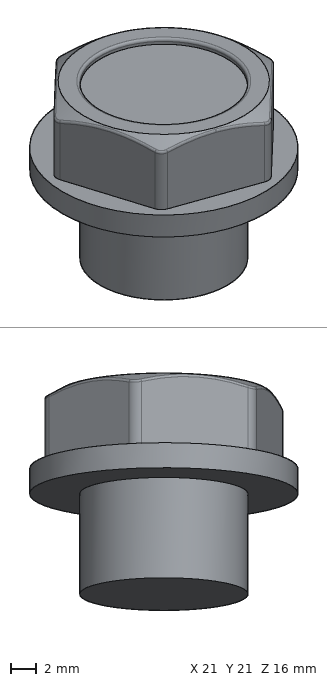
import cadquery as cq
import math

shank_diameter = 13.17
shank_length = 8.0
flange_diameter = 21.0
flange_thickness = 2.0
head_height = 6.0
hex_sides = 6
hex_half_angle = 180 / hex_sides
across_flats = 17.0
corner_radius = 1.0

crown_diameter = 16.53
crown_angle = 30.0
crown_edge_radius = 0.25

recess_diameter = 13.1
recess_depth = 0.5
recess_rim_radius = 0.25

flange_top = shank_length + flange_thickness
total_height = flange_top + head_height


def make_head():
    """Rounded hexagon with corners on the Y axis, chamfered by a cone."""
    across_corners = across_flats / math.cos(math.radians(hex_half_angle))
    hexagon = (
        cq.Workplane("XY")
        .polygon(hex_sides, across_corners)
        .extrude(head_height)
        .edges("|Z")
        .fillet(corner_radius)
        .rotate((0, 0, 0), (0, 0, 1), hex_half_angle)
        .translate((0, 0, flange_top))
    )

    crown_radius = crown_diameter / 2
    outer_radius = flange_diameter / 2
    cone_drop = (outer_radius - crown_radius) * math.tan(math.radians(crown_angle))
    cone = (
        cq.Workplane("XZ")
        .moveTo(0, flange_top)
        .lineTo(outer_radius, flange_top)
        .lineTo(outer_radius, total_height - cone_drop)
        .lineTo(crown_radius, total_height)
        .lineTo(0, total_height)
        .close()
        .revolve(360, (0, 0, 0), (0, 1, 0))
    )
    head = hexagon.intersect(cone)

    crown_edges = head.faces("%CONE").edges("not %CIRCLE")
    return head.newObject(crown_edges.vals()).fillet(crown_edge_radius)


def make_recess():
    """Cutter for the recess, flaring out to a rounded rim at the top."""
    radius = recess_diameter / 2
    rim_start = total_height - recess_rim_radius
    bend = recess_rim_radius * (1 - math.sqrt(0.5))
    return (
        cq.Workplane("XZ")
        .moveTo(0, total_height - recess_depth)
        .lineTo(radius, total_height - recess_depth)
        .lineTo(radius, rim_start)
        .threePointArc(
            (radius + bend, total_height - bend),
            (radius + recess_rim_radius, total_height),
        )
        .lineTo(0, total_height)
        .close()
        .revolve(360, (0, 0, 0), (0, 1, 0))
    )


shank = cq.Workplane("XY").circle(shank_diameter / 2).extrude(shank_length)
flange = (
    cq.Workplane("XY")
    .workplane(offset=shank_length)
    .circle(flange_diameter / 2)
    .extrude(flange_thickness)
)

result = shank.union(flange).union(make_head()).cut(make_recess())